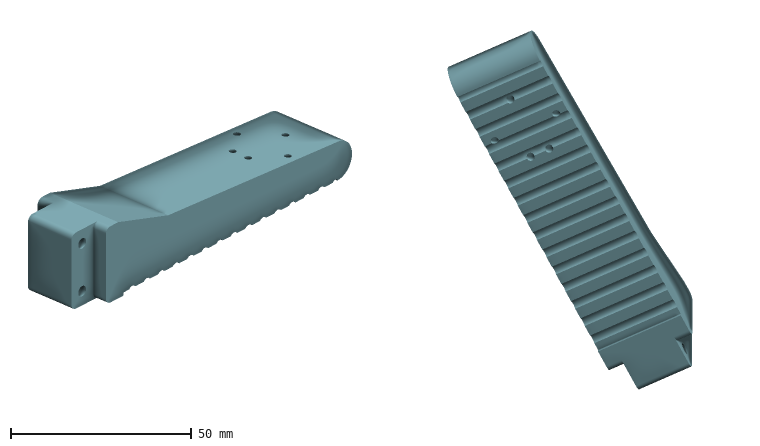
import cadquery as cq


length = 110.6
width = 25.5
height = 24.0

belly_z = 1.0
root_end_y = 16.4
crest_y = 14.2
knee_y = 34.8
knee_z = 17.9
tip_radius = 6.1
tip_y = length - tip_radius
tip_z = belly_z + tip_radius

tongue_width = 16.3
shoulder_y = 9.1
edge_radius = 2.0
pin_diameter = 3.2
pin_y = 4.4
pin_spacing = 15.0

groove_count = 15
first_groove_y = 20.0
last_groove_y = 104.0
groove_pitch = (last_groove_y - first_groove_y) / (groove_count - 1)
groove_radius = 1.7
groove_depth = 0.7

screw_diameter = 2.2
apex_hole_y = 97.2
side_hole_x, side_hole_y = 9.5, 87.7
pair_hole_x, pair_hole_y = 2.9, 78.7


def finger_body():
    """Full-width body from the shoulders to the round tip."""
    profile = (
        cq.Workplane("YZ")
        .moveTo(shoulder_y, 0)
        .lineTo(root_end_y, 0)
        .lineTo(root_end_y, belly_z)
        .lineTo(tip_y, belly_z)
        .threePointArc((length, tip_z), (tip_y, tip_z + tip_radius))
        .lineTo(knee_y, knee_z)
        .lineTo(crest_y, height)
        .lineTo(shoulder_y, height)
        .close()
    )
    body = profile.extrude(width / 2, both=True)
    return body.faces("<Y").edges("|X").fillet(edge_radius)


def tongue():
    """Narrow block at the root, rounded on its front edges and cross-drilled for two pins."""
    block = (
        cq.Workplane("XY")
        .box(tongue_width, crest_y, height, centered=(True, False, False))
        .faces("<Y").edges("|X").fillet(edge_radius)
    )
    pins = (
        cq.Workplane("YZ")
        .pushPoints([(pin_y, height / 2 + side * pin_spacing / 2) for side in (-1, 1)])
        .circle(pin_diameter / 2)
        .extrude(width, both=True)
    )
    return block.cut(pins)


def grip_grooves():
    """Row of round grooves across the belly; the one at the tip stops where the tip arc begins."""
    axis_z = belly_z + groove_depth - groove_radius
    centres = [(first_groove_y + i * groove_pitch, axis_z) for i in range(groove_count)]
    rods = cq.Workplane("YZ").pushPoints(centres).circle(groove_radius).extrude(width, both=True)
    belly_zone = cq.Workplane("XY").box(2 * width, tip_y, height, centered=(True, False, True))
    return rods.intersect(belly_zone)


def screw_holes():
    """Five vertical through holes: one apex hole, a wide pair and a close pair."""
    centres = [
        (0, apex_hole_y),
        (-side_hole_x, side_hole_y),
        (side_hole_x, side_hole_y),
        (-pair_hole_x, pair_hole_y),
        (pair_hole_x, pair_hole_y),
    ]
    return cq.Workplane("XY").pushPoints(centres).circle(screw_diameter / 2).extrude(height)


result = finger_body().cut(grip_grooves()).union(tongue()).cut(screw_holes())